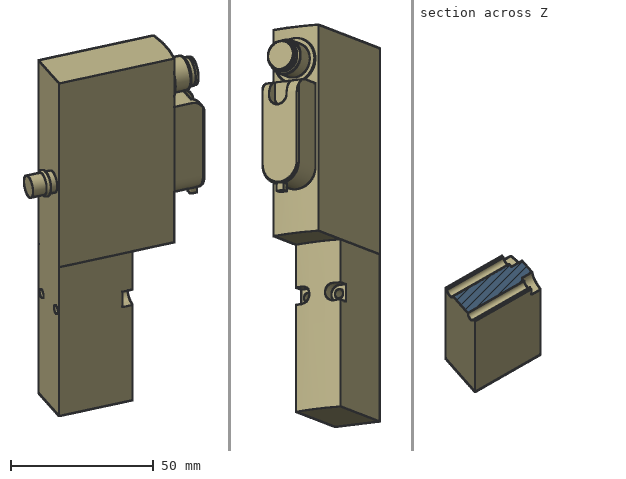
import cadquery as cq

BODY_WIDTH = 18.1
FOOT_WIDTH = 18.0
TOTAL_HEIGHT = 134.0
TOTAL_DEPTH = 66.2
FOOT_HEIGHT = 60.0
BODY_DEPTH = 44.95
FOOT_DEPTH = 28.95
BACK_CROWN = 0.8

MOUNT_HOLE_DIAMETER = 3.3
MOUNT_HOLE_SPACING = 12.5
MOUNT_HOLE_Z = 41.5
SPOT_FACE_WIDTH = 6.2
SPOT_FACE_FLOOR_Y = 24.3

PLUG_X = 3.35
PLUG_Z = 91.6
PLUG_DIAMETER = 8.0
PLUG_LENGTH = 9.25
PLUG_RING_Y = -3.2
PLUG_RING_RADIUS = 0.8

CONNECTOR_Z = 121.9
FLANGE_DIAMETER = 16.0
FLANGE_END_Y = 45.1
BARREL_DIAMETER = 12.35
BARREL_END_Y = 51.6
SHOULDER_DIAMETER = 12.0
NECK_DIAMETER = 10.5
NECK_START_Y = 52.4
NECK_END_Y = 54.0
TIP_DIAMETER = 10.1
TIP_END_Y = 55.15

COVER_X = -0.7
COVER_WIDTH = 14.6
COVER_TOP_Z = 113.0
COVER_BOTTOM_Z = 75.6
COVER_END_Y = TOTAL_DEPTH - PLUG_LENGTH
COVER_TOP_FILLET = 5.3
COVER_EDGE_DEPTH = 0.8
COVER_EDGE_INSET = 0.4

NOTCH_X = 0.0
NOTCH_WIDTH = 7.1
NOTCH_DEPTH = 4.1
NOTCH_CENTRE_Z = 107.5

CATCH_WIDTH = 2.8
CATCH_FRONT_Y = 53.9
CATCH_REAR_Y = 56.5
CATCH_BOTTOM_Z = 73.0
CATCH_EDGE_DIAMETER = 1.0

EMBED = 2.0


def y_plane(x, y, z):
    """Sketch plane facing +Y at the given point; local x runs along -X, local y along +Z."""
    return cq.Workplane(cq.Plane(origin=(x, y, z), xDir=(-1, 0, 0), normal=(0, 1, 0)))


def crowned_block(width, depth, bottom_z, top_z):
    """Block with a flat front at Y = 0 and a back bulging to the given depth."""
    half = width / 2
    side_depth = depth - BACK_CROWN
    return (
        cq.Workplane("XY", origin=(0, 0, bottom_z))
        .moveTo(-half, 0)
        .lineTo(half, 0)
        .lineTo(half, side_depth)
        .threePointArc((0, depth), (-half, side_depth))
        .close()
        .extrude(top_z - bottom_z)
    )


def mounting_cut(side):
    """Through hole and side-open spot-face; side is -1 or +1 along X."""
    hole_x = side * MOUNT_HOLE_SPACING / 2
    hole = y_plane(hole_x, 0, MOUNT_HOLE_Z).circle(MOUNT_HOLE_DIAMETER / 2).extrude(FOOT_DEPTH)
    spot_depth = FOOT_DEPTH - SPOT_FACE_FLOOR_Y
    round_end = (
        y_plane(hole_x, SPOT_FACE_FLOOR_Y, MOUNT_HOLE_Z)
        .circle(SPOT_FACE_WIDTH / 2)
        .extrude(spot_depth)
    )
    open_side = (
        y_plane(hole_x + side * SPOT_FACE_WIDTH / 2, SPOT_FACE_FLOOR_Y, MOUNT_HOLE_Z)
        .rect(SPOT_FACE_WIDTH, SPOT_FACE_WIDTH)
        .extrude(spot_depth)
    )
    return hole.union(round_end).union(open_side)


def front_plug():
    """Plain cylinder with one half-round ring, revolved about an axis along Y."""
    radius = PLUG_DIAMETER / 2
    return (
        cq.Workplane("XY", origin=(PLUG_X, 0, PLUG_Z))
        .moveTo(0, EMBED)
        .lineTo(radius, EMBED)
        .lineTo(radius, PLUG_RING_Y + PLUG_RING_RADIUS)
        .threePointArc((radius + PLUG_RING_RADIUS, PLUG_RING_Y), (radius, PLUG_RING_Y - PLUG_RING_RADIUS))
        .lineTo(radius, -PLUG_LENGTH)
        .lineTo(0, -PLUG_LENGTH)
        .close()
        .revolve(360, (0, 0, 0), (0, 1, 0))
    )


def rear_connector():
    """Stepped connector revolved about an axis along Y."""
    start_y = BODY_DEPTH - EMBED
    return (
        cq.Workplane("XY", origin=(0, 0, CONNECTOR_Z))
        .moveTo(0, start_y)
        .lineTo(FLANGE_DIAMETER / 2, start_y)
        .lineTo(FLANGE_DIAMETER / 2, FLANGE_END_Y)
        .lineTo(BARREL_DIAMETER / 2, FLANGE_END_Y)
        .lineTo(BARREL_DIAMETER / 2, BARREL_END_Y)
        .lineTo(SHOULDER_DIAMETER / 2, BARREL_END_Y)
        .lineTo(NECK_DIAMETER / 2, NECK_START_Y)
        .lineTo(NECK_DIAMETER / 2, NECK_END_Y)
        .lineTo(TIP_DIAMETER / 2, NECK_END_Y)
        .lineTo(TIP_DIAMETER / 2, TIP_END_Y)
        .lineTo(0, TIP_END_Y)
        .close()
        .revolve(360, (0, 0, 0), (0, 1, 0))
    )


def rear_cover():
    """Cover with a round lower end, a bevelled rear rim, a rounded upper edge and a notch."""
    radius = COVER_WIDTH / 2
    start_y = BODY_DEPTH - EMBED
    round_z = COVER_BOTTOM_Z + radius
    straight_height = COVER_TOP_Z - round_z
    cover = (
        y_plane(COVER_X, start_y, round_z)
        .moveTo(-radius, 0)
        .threePointArc((0, -radius), (radius, 0))
        .lineTo(radius, straight_height)
        .lineTo(-radius, straight_height)
        .close()
        .extrude(COVER_END_Y - start_y)
    )
    upright_and_round_rim = cover.faces(">Y").edges("not >Z")
    cover = upright_and_round_rim.chamfer(COVER_EDGE_DEPTH, COVER_EDGE_INSET)
    return cover.intersect(cover_side_profile()).cut(cover_notch())


def cover_side_profile():
    """Block as large as the cover, rounded along its upper rear edge only."""
    start_y = BODY_DEPTH - EMBED
    return (
        cq.Workplane("XY", origin=(COVER_X, (start_y + COVER_END_Y) / 2, COVER_BOTTOM_Z))
        .rect(COVER_WIDTH, COVER_END_Y - start_y)
        .extrude(COVER_TOP_Z - COVER_BOTTOM_Z)
        .edges(">Z and >Y")
        .fillet(COVER_TOP_FILLET)
    )


def cover_notch():
    """U-shaped cutter, round at the bottom and open at the top and rear of the cover."""
    floor_y = COVER_END_Y - NOTCH_DEPTH
    height = COVER_TOP_Z - NOTCH_CENTRE_Z
    round_bottom = y_plane(NOTCH_X, floor_y, NOTCH_CENTRE_Z).circle(NOTCH_WIDTH / 2).extrude(NOTCH_DEPTH)
    open_top = (
        y_plane(NOTCH_X, floor_y, NOTCH_CENTRE_Z + height / 2)
        .rect(NOTCH_WIDTH, height)
        .extrude(NOTCH_DEPTH)
    )
    return round_bottom.union(open_top)


def cover_catch():
    """Small block under the cover with rounded front upright edges."""
    height = COVER_BOTTOM_Z + EMBED - CATCH_BOTTOM_Z
    return (
        cq.Workplane("XY", origin=(COVER_X, (CATCH_FRONT_Y + CATCH_REAR_Y) / 2, CATCH_BOTTOM_Z))
        .rect(CATCH_WIDTH, CATCH_REAR_Y - CATCH_FRONT_Y)
        .extrude(height)
        .edges("|Z and <Y")
        .fillet(CATCH_EDGE_DIAMETER / 2)
    )


result = crowned_block(BODY_WIDTH, BODY_DEPTH, FOOT_HEIGHT, TOTAL_HEIGHT)
result = result.union(crowned_block(FOOT_WIDTH, FOOT_DEPTH, 0, FOOT_HEIGHT))
for side in (-1, 1):
    result = result.cut(mounting_cut(side))
for feature in (front_plug(), rear_connector(), rear_cover(), cover_catch()):
    result = result.union(feature)